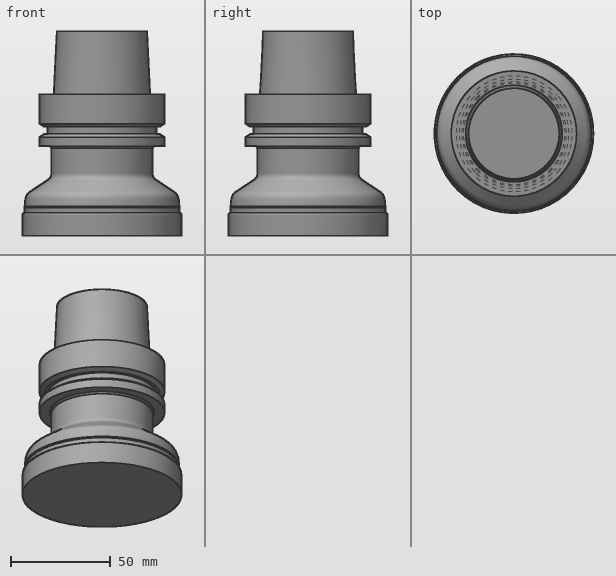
import cadquery as cq
import math

TOTAL_HEIGHT = 102.9
RIM_HEIGHT = 11.6
SEAM_HEIGHT = 14.1
BELL_BASE_HEIGHT = 14.8
BELL_CURVE_TOP = 22.1
CONE_TOP = 28.2
NECK_BOTTOM = 31.1
FLANGE_BOTTOM = 45.2
GROOVE_BOTTOM = 51.2
GROOVE_TOP = 54.8
FLANGE_TOP = 71.2

RIM_RADIUS = 80.1 / 2
BELL_RADIUS = 78.0 / 2
CURVE_TOP_RADIUS = 36.4
CONE_TOP_RADIUS = 27.3
NECK_RADIUS = 51.0 / 2
NECK_COLLAR_RADIUS = 52.5 / 2
FLANGE_RADIUS = 63.0 / 2
GROOVE_RADIUS = 55.0 / 2
TAPER_BOTTOM_RADIUS = 24.3
TAPER_TOP_RADIUS = 22.7

RIM_ROUND = RIM_RADIUS - BELL_RADIUS
COLLAR_HEIGHT = 1.0
BEVEL_WIDTH = 2.4
BEVEL_HEIGHT = 1.6
SEAM_DEPTH = 0.1


def revolve_profile(profile):
    """Turn a closed radius-height profile about the Z axis."""
    return profile.close().revolve(360, (0, 0, 0), (0, 1, 0))


def make_base_ring():
    """Solid disc with a rounded rim and a slightly narrower upper band."""
    round_centre_height = RIM_HEIGHT - RIM_ROUND
    round_middle = (
        BELL_RADIUS + RIM_ROUND * math.sin(math.pi / 4),
        round_centre_height + RIM_ROUND * math.cos(math.pi / 4),
    )
    profile = (
        cq.Workplane("XZ")
        .lineTo(RIM_RADIUS, 0)
        .lineTo(RIM_RADIUS, round_centre_height)
        .threePointArc(round_middle, (BELL_RADIUS, RIM_HEIGHT))
        .lineTo(BELL_RADIUS, SEAM_HEIGHT)
        .lineTo(0, SEAM_HEIGHT)
    )
    return revolve_profile(profile)


def make_holder():
    """Bell, neck, grooved flange and tapered shank, turned as one body."""
    cone_angle = math.atan2(CONE_TOP - BELL_CURVE_TOP, CURVE_TOP_RADIUS - CONE_TOP_RADIUS)
    cone_direction = (-math.cos(cone_angle), math.sin(cone_angle))

    fillet_half_angle = (math.pi / 2 - cone_angle) / 2
    fillet_chord = math.hypot(CONE_TOP_RADIUS - NECK_RADIUS, NECK_BOTTOM - CONE_TOP)
    fillet_sag = fillet_chord / 2 * math.tan(fillet_half_angle / 2)
    chord_angle = math.atan2(NECK_BOTTOM - CONE_TOP, CONE_TOP_RADIUS - NECK_RADIUS)
    fillet_middle = (
        (CONE_TOP_RADIUS + NECK_RADIUS) / 2 - fillet_sag * math.sin(chord_angle),
        (CONE_TOP + NECK_BOTTOM) / 2 - fillet_sag * math.cos(chord_angle),
    )

    bevel_radius = FLANGE_RADIUS - BEVEL_WIDTH
    profile = (
        cq.Workplane("XZ")
        .moveTo(0, SEAM_HEIGHT)
        .lineTo(BELL_RADIUS - SEAM_DEPTH, SEAM_HEIGHT)
        .lineTo(BELL_RADIUS - SEAM_DEPTH, BELL_BASE_HEIGHT)
        .lineTo(BELL_RADIUS, BELL_BASE_HEIGHT)
        .spline(
            [(CURVE_TOP_RADIUS, BELL_CURVE_TOP)],
            tangents=[(0, 1), cone_direction],
            includeCurrent=True,
        )
        .lineTo(CONE_TOP_RADIUS, CONE_TOP)
        .threePointArc(fillet_middle, (NECK_RADIUS, NECK_BOTTOM))
        .lineTo(NECK_RADIUS, FLANGE_BOTTOM - COLLAR_HEIGHT)
        .lineTo(NECK_COLLAR_RADIUS, FLANGE_BOTTOM)
        .lineTo(FLANGE_RADIUS, FLANGE_BOTTOM)
        .lineTo(FLANGE_RADIUS, GROOVE_BOTTOM - BEVEL_HEIGHT)
        .lineTo(bevel_radius, GROOVE_BOTTOM)
        .lineTo(GROOVE_RADIUS, GROOVE_BOTTOM)
        .lineTo(GROOVE_RADIUS, GROOVE_TOP)
        .lineTo(bevel_radius, GROOVE_TOP)
        .lineTo(FLANGE_RADIUS, GROOVE_TOP + BEVEL_HEIGHT)
        .lineTo(FLANGE_RADIUS, FLANGE_TOP)
        .lineTo(TAPER_BOTTOM_RADIUS, FLANGE_TOP)
        .lineTo(TAPER_TOP_RADIUS, TOTAL_HEIGHT)
        .lineTo(0, TOTAL_HEIGHT)
    )
    return revolve_profile(profile)


base_ring = make_base_ring()
holder = make_holder()

result = cq.Compound.makeCompound([base_ring.val(), holder.val()])